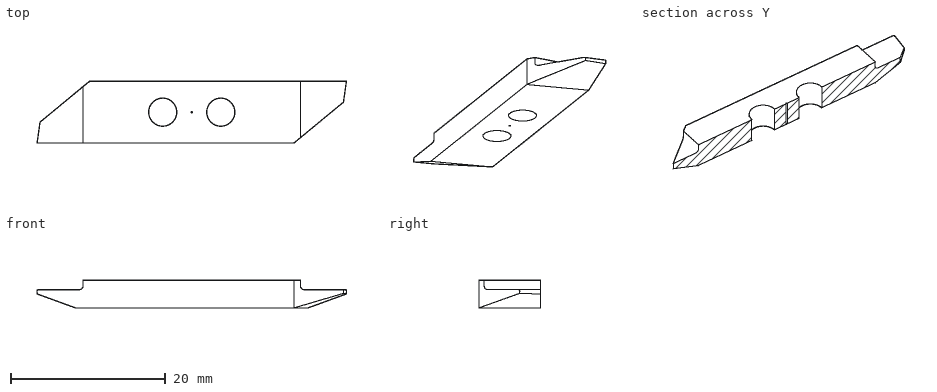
import math

import cadquery as cq

length = 40.0
width = 8.0
height = 3.6
half_length = length / 2
half_width = width / 2

ledge_depth = 1.2
shoulder_x = 14.05
shoulder_radius = 0.45
end_edge_width = 2.7
end_edge_angle = 8.0
end_clearance_angle = 2.0
cutting_edge_radius = 0.2
diagonal_end_x = 13.2

relief_near_x = 15.0
relief_far_x = 13.15
relief_tip_height = 1.82

hole_diameter = 3.6
hole_spacing = 7.5
centre_hole_diameter = 0.15


def make_blank():
    """Six-sided plate, unchanged by a half turn about Z."""
    end_edge_x = half_length - end_edge_width * math.tan(math.radians(end_edge_angle))
    end_edge_y = half_width - end_edge_width
    half_outline = [
        (diagonal_end_x, -half_width),
        (end_edge_x, end_edge_y),
        (half_length, half_width),
    ]
    opposite_half = [(-x, -y) for x, y in half_outline]
    return cq.Workplane("XY").polyline(half_outline + opposite_half).close().extrude(height)


def make_ledge_cutter():
    """Step over the -X tip, with a rounded inner corner."""
    reach = half_length
    return (
        cq.Workplane("XY")
        .box(reach, 2 * width, 2 * ledge_depth)
        .translate((-shoulder_x - reach / 2, 0, height))
        .edges(">X and <Z")
        .fillet(shoulder_radius)
    )


def make_relief_cutter():
    """Wedge under the -X tip, with its top on the sloping relief plane."""
    near_start = cq.Vector(-relief_near_x, -half_width, 0)
    far_start = cq.Vector(-relief_far_x, half_width, 0)
    tip_corner = cq.Vector(-half_length, -half_width, relief_tip_height)
    start_direction = far_start - near_start
    downward = (tip_corner - near_start).cross(start_direction)
    plane = cq.Plane(origin=near_start, xDir=start_direction, normal=downward)
    return cq.Workplane(plane).rect(2 * length, 2 * length).extrude(length)


def make_end_cutter():
    """Block beyond the -X cutting edge, undercutting the end face below the ledge."""
    edge_corner = cq.Vector(-half_length, -half_width, height - ledge_depth)
    lean = math.radians(end_edge_angle)
    clearance = math.radians(end_clearance_angle)
    edge_direction = cq.Vector(math.sin(lean), math.cos(lean), 0)
    outward = cq.Vector(-math.cos(lean), math.sin(lean), 0)
    normal = outward * math.cos(clearance) - cq.Vector(0, 0, math.sin(clearance))
    plane = cq.Plane(origin=edge_corner, xDir=edge_direction, normal=normal)
    return cq.Workplane(plane).rect(2 * width, 2 * width).extrude(width)


def round_cutting_edges(body):
    """Round the edge between ledge and end face at both tips."""
    edge_middle_x = half_length - end_edge_width / 2 * math.tan(math.radians(end_edge_angle))
    edge_middle_y = half_width - end_edge_width / 2
    for side in (-1, 1):
        edge_middle = (side * edge_middle_x, side * edge_middle_y, height - ledge_depth)
        body = body.edges(cq.selectors.NearestToPointSelector(edge_middle)).fillet(cutting_edge_radius)
    return body


def cut_both_ends(body, cutter):
    """Cut at the -X end and, turned half way round Z, at the +X end."""
    turned = cutter.rotate((0, 0, 0), (0, 0, 1), 180)
    return body.cut(cutter).cut(turned)


def drill_holes(body):
    """Drill the mounting holes and the centre hole through the plate."""
    return (
        body.faces(">Z")
        .workplane(origin=(0, 0, height))
        .pushPoints([(-hole_spacing / 2, 0), (hole_spacing / 2, 0)])
        .hole(hole_diameter)
        .faces(">Z")
        .workplane(origin=(0, 0, height))
        .hole(centre_hole_diameter)
    )


result = make_blank()
result = cut_both_ends(result, make_ledge_cutter())
result = cut_both_ends(result, make_relief_cutter())
result = cut_both_ends(result, make_end_cutter())
result = round_cutting_edges(result)
result = drill_holes(result)